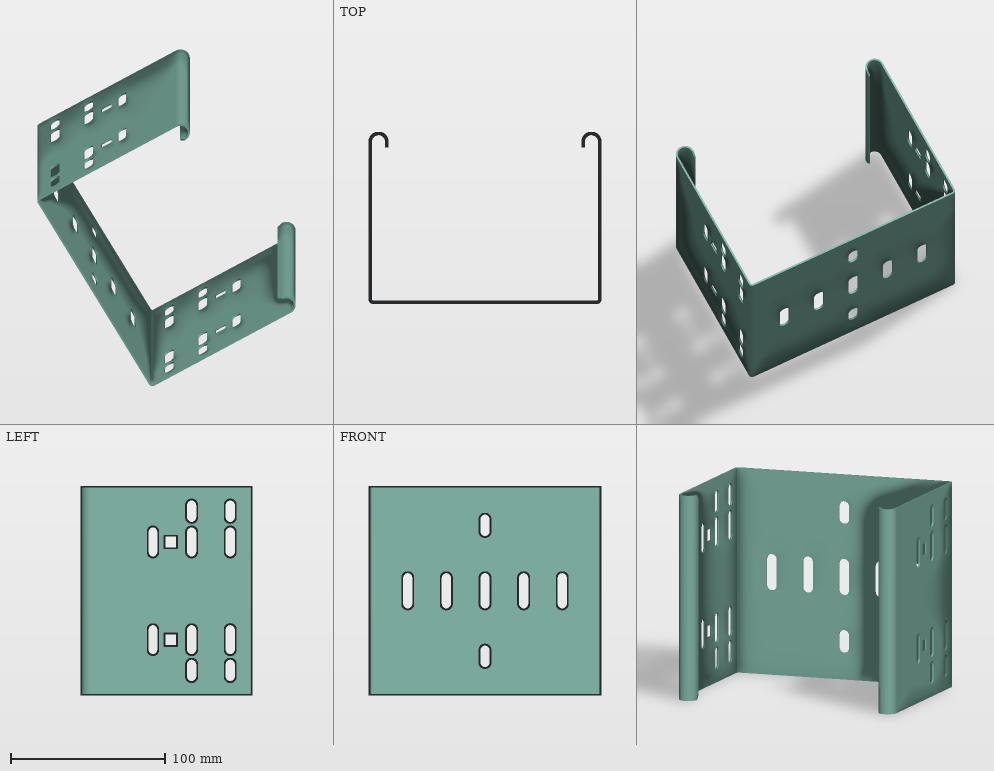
import cadquery as cq

width = 150.0
depth = 110.5
height = 135.0
thickness = 1.2
corner_radius = 2.4
curl_radius = 6.0
curl_lip = 3.2
lip_chamfer = 3.0

slot_pitch = 25.0
slot_width = 7.0
short_slot_length = 15.0
base_slot_length = 24.0
base_slot_columns = 5
base_short_slot_z = 42.5
side_slot_length = 20.0
narrow_slot_width = 6.6
side_first_column = 14.0
side_long_slot_z = 31.6
side_short_slot_z = 51.6
square_size = 8.0
square_offset = 13.5

cutter_reach = width
base_y = -depth / 2
curl_start_y = depth / 2 - curl_radius


def build_channel():
    """Extrude one half of the wall profile along Z, finish its corners and mirror it."""
    outer_x = width / 2
    curl_inner = curl_radius - thickness
    inner_x = outer_x - thickness
    inner_y = base_y + thickness
    curl_x = outer_x - curl_radius
    lip_x = outer_x - 2 * curl_radius
    lip_y = curl_start_y - curl_lip
    half = (
        cq.Workplane("XY")
        .workplane(offset=-height / 2)
        .moveTo(0, base_y)
        .lineTo(outer_x, base_y)
        .lineTo(outer_x, curl_start_y)
        .threePointArc((curl_x, depth / 2), (lip_x, curl_start_y))
        .lineTo(lip_x, lip_y)
        .lineTo(lip_x + thickness, lip_y)
        .lineTo(lip_x + thickness, curl_start_y)
        .threePointArc((curl_x, curl_start_y + curl_inner), (inner_x, curl_start_y))
        .lineTo(inner_x, inner_y)
        .lineTo(0, inner_y)
        .close()
        .extrude(height)
    )
    outer_corner = cq.selectors.NearestToPointSelector((outer_x, base_y, 0))
    inner_corner = cq.selectors.NearestToPointSelector((inner_x, inner_y, 0))
    half = half.edges(outer_corner).fillet(corner_radius)
    half = half.edges(inner_corner).fillet(corner_radius - thickness)
    lip_middle_x = lip_x + thickness / 2
    for end in (-1, 1):
        lip_corner = cq.selectors.NearestToPointSelector((lip_middle_x, lip_y, end * height / 2))
        half = half.edges(lip_corner).chamfer(lip_chamfer)
    return half.union(half.mirror("YZ"))


def upright_slots(plane, points, length, breadth):
    """Cutters for vertical slots, reaching equally to both sides of the plane."""
    return plane.pushPoints(points).slot2D(length, breadth, 90).extrude(cutter_reach, both=True)


def cut_base_holes(body):
    """Cut the row of long slots and the short pair above and below it."""
    plane = cq.Workplane("XZ", origin=(0, base_y, 0))
    middle = (base_slot_columns - 1) / 2
    row = [((i - middle) * slot_pitch, 0) for i in range(base_slot_columns)]
    pair = [(0, base_short_slot_z), (0, -base_short_slot_z)]
    body = body.cut(upright_slots(plane, row, base_slot_length, slot_width))
    return body.cut(upright_slots(plane, pair, short_slot_length, slot_width))


def cut_side_holes(body):
    """Cut the same hole pattern through both side walls."""
    plane = cq.Workplane("YZ")
    first_y = base_y + side_first_column
    middle_y = first_y + slot_pitch
    last_y = middle_y + slot_pitch
    for side in (-1, 1):
        long_z = side * side_long_slot_z
        short_z = side * side_short_slot_z
        long_points = [(first_y, long_z), (middle_y, long_z)]
        short_points = [(first_y, short_z), (middle_y, short_z)]
        body = body.cut(upright_slots(plane, long_points, side_slot_length, slot_width))
        body = body.cut(upright_slots(plane, short_points, short_slot_length, slot_width))
        body = body.cut(upright_slots(plane, [(last_y, long_z)], side_slot_length, narrow_slot_width))
        square = plane.center(middle_y + square_offset, long_z).rect(square_size, square_size)
        body = body.cut(square.extrude(cutter_reach, both=True))
    return body


result = cut_side_holes(cut_base_holes(build_channel()))